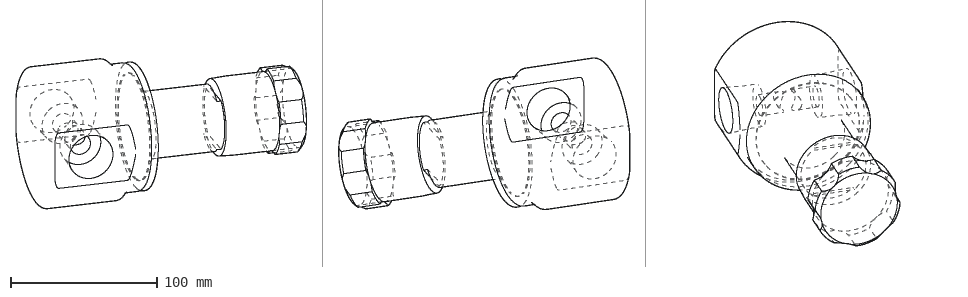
import cadquery as cq
import math

total_length = 185.5
flat_width = 88.9

head_radius = 97.8 / 2
collar_radius = 44.4
head_corner_y = 52.9
shoulder_end_y = head_corner_y + head_radius - collar_radius
collar_end_y = 70.1
groove_radius = 37.1
flange_start_y = 71.0
rim_end_y = 74.2
cone_end_y = 78.9
end_round = 3.0
shoulder_round = 3.3
rim_round = 2.2
rim_under_round = 0.7
stem_round = 2.6

stem_radius = 46.5 / 2
stem_flat_half_height = 35.5 / 2
stem_flat_start_y = 125.3
sleeve_start_y = 128.2
sleeve_taper_end_y = 139.4
sleeve_start_radius = 26.7
sleeve_radius = 27.3

nut_start_y = 166.3
nut_radius = 30.6
nut_chamfer = 3.2
scallop_count = 6
scallop_first_angle = 48.0
scallop_span = 31.0

port_y = 25.8
port_mouth_radius = 15.8
port_radius = 14.7
port_taper_depth = 16.7
port_depth = 24.1
passage_radius = 7.2
core_radius = 7.8

tolerance = 0.002


def cylinder_along_y(radius, start, end):
    return cq.Workplane("XZ", origin=(0, start, 0)).circle(radius).extrude(start - end)


def cylinder_along_x(radius, start, end):
    return cq.Workplane("YZ", origin=(start, port_y, 0)).circle(radius).extrude(end - start)


def make_turned_body():
    return (
        cq.Workplane("XY")
        .moveTo(0, 0)
        .lineTo(head_radius, 0)
        .lineTo(head_radius, head_corner_y)
        .lineTo(collar_radius, shoulder_end_y)
        .lineTo(collar_radius, collar_end_y)
        .lineTo(groove_radius, collar_end_y)
        .lineTo(groove_radius, flange_start_y)
        .lineTo(collar_radius, flange_start_y)
        .lineTo(collar_radius, rim_end_y)
        .lineTo(stem_radius, cone_end_y)
        .lineTo(stem_radius, sleeve_start_y)
        .lineTo(sleeve_start_radius, sleeve_start_y)
        .lineTo(sleeve_radius, sleeve_taper_end_y)
        .lineTo(sleeve_radius, total_length)
        .lineTo(0, total_length)
        .close()
        .revolve(360, (0, 0, 0), (0, 1, 0))
    )


def round_ring(body, radius, y, round_radius):
    """Fillet the circular edge of the given radius at height y."""
    def is_ring(edge):
        center = edge.arcCenter()
        same_radius = math.isclose(edge.radius(), radius, abs_tol=tolerance)
        return same_radius and math.isclose(center.y, y, abs_tol=tolerance)

    return body.edges("%CIRCLE").filter(is_ring).fillet(round_radius)


def make_nut():
    nut = cylinder_along_y(nut_radius, nut_start_y, total_length)
    nut = nut.faces(">Y").edges().chamfer(nut_chamfer)
    half_span = math.radians(scallop_span / 2)
    half_chord = nut_radius * math.sin(half_span)
    depth = nut_radius * math.cos(half_span) - sleeve_radius
    scallop_radius = (depth**2 + half_chord**2) / (2 * depth)
    center_distance = sleeve_radius + scallop_radius
    for i in range(scallop_count):
        angle = scallop_first_angle + i * 360 / scallop_count
        cutter = cylinder_along_y(scallop_radius, nut_start_y, total_length)
        cutter = cutter.translate((center_distance, 0, 0))
        nut = nut.cut(cutter.rotate((0, 0, 0), (0, 1, 0), -angle))
    return nut


def make_port():
    """Tapered port mouth, straight bore and inner passage on the -X side."""
    face_x = -flat_width / 2
    mouth = (
        cq.Workplane("YZ", origin=(face_x, port_y, 0))
        .circle(port_mouth_radius)
        .workplane(offset=port_taper_depth)
        .circle(port_radius)
        .loft()
    )
    bore = cylinder_along_x(port_radius, face_x, face_x + port_depth)
    passage = cylinder_along_x(passage_radius, face_x, 0)
    core = cylinder_along_y(core_radius, port_y - port_radius, port_y + port_radius)
    return mouth.union(bore).union(passage.cut(core))


body = make_turned_body()
for radius, y, round_radius in (
    (head_radius, 0, end_round),
    (head_radius, head_corner_y, shoulder_round),
    (collar_radius, shoulder_end_y, shoulder_round),
    (collar_radius, collar_end_y, end_round),
    (collar_radius, flange_start_y, rim_under_round),
    (collar_radius, rim_end_y, rim_round),
    (stem_radius, cone_end_y, stem_round),
):
    body = round_ring(body, radius, y, round_radius)

head_flats = cq.Workplane("XY").box(flat_width, 2 * total_length, 4 * head_radius)
body = body.intersect(head_flats)

flat_length = sleeve_start_y - stem_flat_start_y
flat_ring = cylinder_along_y(nut_radius, stem_flat_start_y, sleeve_start_y)
flat_core = cq.Workplane("XY").box(4 * nut_radius, flat_length, 2 * stem_flat_half_height)
flat_core = flat_core.translate((0, stem_flat_start_y + flat_length / 2, 0))
body = body.cut(flat_ring.cut(flat_core))

body = body.union(make_nut())

port = make_port()
result = body.cut(port).cut(port.mirror("YZ"))